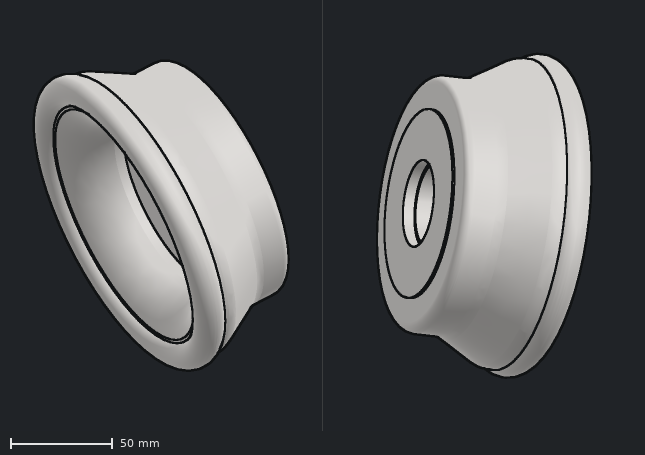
import cadquery as cq
import math

total_depth = 63.0
body_back = 61.9
rim_end = 19.2
hub_start = 42.9
neck_front = 5.1
bowl_curve_end = 27.8
floor_depth = 33.1
bore_step = 57.0

outer_radius = 80.0
bead_radius = 8.0
bead_center_radius = outer_radius - bead_radius
rim_radius = 77.0
hub_radius = 64.0
pad_radius = 46.7
bowl_mouth_radius = 62.7
bowl_floor_radius = 44.0
bowl_flare_radius = 33.6
bore_radius = 20.0
relief_radius = 21.5

cone_blend = 9.9
hub_back_fillet = 4.8


def revolve_profile(profile):
    """Turn a closed (radius, Y) outline around the Y axis."""
    return profile.close().revolve(360, (0, 0, 0), (0, 1, 0))


def disk(radius, start, end):
    """Solid cylinder around the Y axis between two axial positions."""
    return revolve_profile(
        cq.Workplane("XY").moveTo(0, start).lineTo(radius, start).lineTo(radius, end).lineTo(0, end)
    )


def ring_edge(radius, position):
    """Selector for the circular edge passing through one radius and Y position."""
    margin = 0.02
    reach = radius + margin
    return cq.selectors.BoxSelector(
        (-reach, position - margin, -reach), (reach, position + margin, reach), boundingbox=True
    )


def make_body():
    """Rim, cone and hub with rounded transitions."""
    body = revolve_profile(
        cq.Workplane("XY")
        .moveTo(0, bead_radius)
        .lineTo(rim_radius, bead_radius)
        .lineTo(rim_radius, rim_end)
        .lineTo(hub_radius, hub_start)
        .lineTo(hub_radius, body_back)
        .lineTo(0, body_back)
    )
    body = body.edges(ring_edge(rim_radius, rim_end)).fillet(cone_blend)
    body = body.edges(ring_edge(hub_radius, hub_start)).fillet(cone_blend)
    return body.edges(ring_edge(hub_radius, body_back)).fillet(hub_back_fillet)


def make_bead():
    """Round bead around the front mouth."""
    section = cq.Workplane("XY").center(bead_center_radius, bead_radius).circle(bead_radius)
    axis_x = -bead_center_radius
    return section.revolve(360, (axis_x, 0, 0), (axis_x, 1, 0))


def make_bowl():
    """Front recess whose wall flares outward like a trumpet."""
    run = bowl_mouth_radius - bowl_floor_radius
    rise = bowl_curve_end - neck_front
    chord = math.hypot(run, rise)
    bulge = bowl_flare_radius - math.sqrt(bowl_flare_radius**2 - (chord / 2) ** 2)
    flare_middle = (
        (bowl_mouth_radius + bowl_floor_radius) / 2 - bulge * rise / chord,
        (neck_front + bowl_curve_end) / 2 - bulge * run / chord,
    )
    return revolve_profile(
        cq.Workplane("XY")
        .moveTo(0, neck_front)
        .lineTo(bowl_mouth_radius, neck_front)
        .threePointArc(flare_middle, (bowl_floor_radius, bowl_curve_end))
        .lineTo(bowl_floor_radius, floor_depth)
        .lineTo(0, floor_depth)
    )


front_core = disk(bead_center_radius, neck_front, bead_radius)
pad = disk(pad_radius, body_back, total_depth)

result = (
    make_body()
    .union(front_core)
    .union(pad)
    .union(make_bead())
    .cut(make_bowl())
    .cut(disk(bore_radius, 0, total_depth))
    .cut(disk(relief_radius, bore_step, total_depth))
)